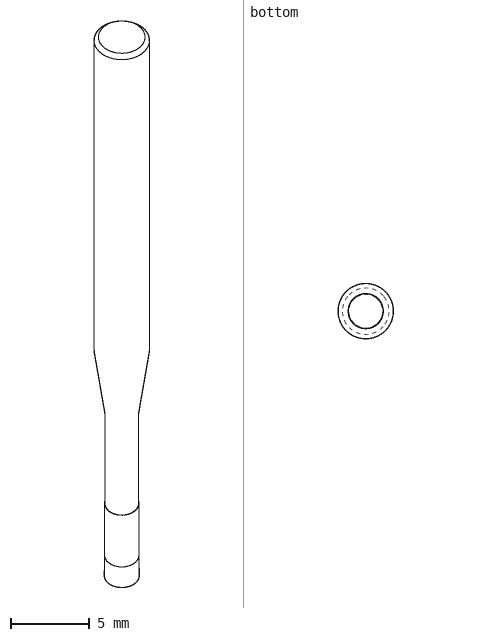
import cadquery as cq

total_length = 47.6
tip_length = 1.8
collar_top = 6.4
taper_bottom = 14.35
taper_top = 19.9

shank_diameter = 3.5
neck_diameter = 2.15
collar_diameter = 2.2
tip_end_diameter = 2.25

shank_chamfer = 0.3


def make_holder():
    """Turned body: collar, relieved neck, taper and chamfered shank."""
    shank_radius = shank_diameter / 2
    neck_radius = neck_diameter / 2
    collar_radius = collar_diameter / 2
    return (
        cq.Workplane("XZ")
        .moveTo(0, tip_length)
        .lineTo(collar_radius, tip_length)
        .lineTo(collar_radius, collar_top)
        .lineTo(neck_radius, collar_top)
        .lineTo(neck_radius, taper_bottom)
        .lineTo(shank_radius, taper_top)
        .lineTo(shank_radius, total_length - shank_chamfer)
        .lineTo(shank_radius - shank_chamfer, total_length)
        .lineTo(0, total_length)
        .close()
        .revolve(360, (0, 0, 0), (0, 1, 0))
    )


def make_tip():
    """Solid cutting tip, widening slightly from the collar to its free end."""
    return (
        cq.Workplane("XZ")
        .lineTo(tip_end_diameter / 2, 0)
        .lineTo(collar_diameter / 2, tip_length)
        .lineTo(0, tip_length)
        .close()
        .revolve(360, (0, 0, 0), (0, 1, 0))
    )


holder = make_holder()
tip = make_tip()

result = cq.Compound.makeCompound([holder.val(), tip.val()])